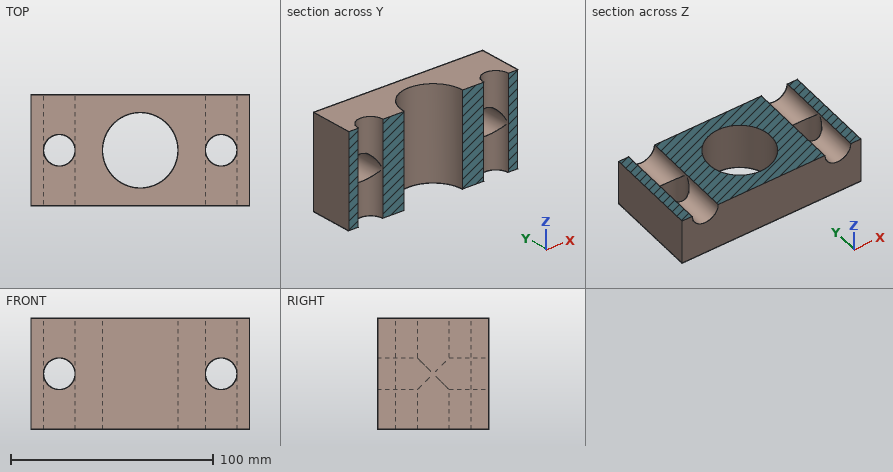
import cadquery as cq

length = 108.0
width = 55.0
height = 55.0

bore_diameter = 37.2
bolt_hole_diameter = 15.5
bolt_hole_spacing = 80.0

bolt_hole_centers = [(-bolt_hole_spacing / 2, 0), (bolt_hole_spacing / 2, 0)]


def make_block():
    """Solid block centred on the origin."""
    return cq.Workplane("XY").box(length, width, height)


def make_main_bore():
    """Cutter for the central vertical bore."""
    return cq.Workplane("XY").circle(bore_diameter / 2).extrude(height / 2, both=True)


def make_bolt_holes(plane, depth):
    """Cutter for a pair of through holes, normal to the given plane and spaced along X."""
    sketch = cq.Workplane(plane).pushPoints(bolt_hole_centers).circle(bolt_hole_diameter / 2)
    return sketch.extrude(depth / 2, both=True)


result = (
    make_block()
    .cut(make_main_bore())
    .cut(make_bolt_holes("XY", height))
    .cut(make_bolt_holes("XZ", width))
)